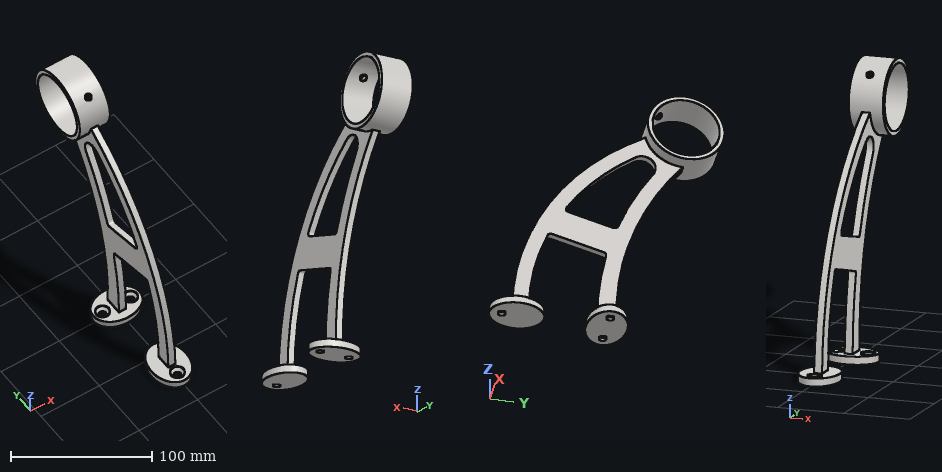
import cadquery as cq


total_height = 208.0

ring_diameter = 56.0
bore_diameter = 48.7
ring_width = 26.0
ring_radius = ring_diameter / 2
ring_height = total_height - ring_radius

foot_length = 40.0
foot_width = 30.0
foot_thickness = 6.0
rear_foot_y = -55.0
front_foot_y = -120.2
foot_hole_diameter = 5.5
countersink_diameter = 10.5
countersink_lip = 0.6
countersink_depth = 3.3
rear_hole_offset = 12.0
front_hole_offset = 10.8

web_thickness = 6.0
rear_leg_outer_centre = (177.6, 12.5)
rear_leg_outer_radius = 225.9
rear_leg_inner_centre = (186.5, 6.0)
rear_leg_inner_radius = 249.0
front_leg_centre = (74.9, 3.1)
front_leg_inner_radius = 187.0
front_leg_outer_radius = 199.0

crossbar_width = 24.3
crossbar_tilt = 14.6
crossbar_centre = (-70.7, 81.5)
window_top_fillet = 9.0
corner_fillet = 2.5

screw_diameter = 5.0
screw_length = 5.0
screw_tilt = 45.0
end_chamfer = 0.5
socket_sides = 6
socket_across_flats = 2.5
socket_depth = 2.5

opening_overrun = 20.8

block_size = 416.0


def disc(centre, radius, thickness):
    """Disc facing X, centred on X = 0, with its centre given as (Y, Z)."""
    return cq.Workplane("YZ").center(*centre).circle(radius).extrude(thickness / 2, both=True)


def half_space(bottom_z):
    """Large block that fills everything above the given height."""
    block = cq.Workplane("XY").box(block_size, block_size, block_size, centered=(True, True, False))
    return block.translate((0, 0, bottom_z))


def crossbar_block(offset, side):
    """Large block above (side = 1) or below (side = -1) a line parallel to the crossbar."""
    block = cq.Workplane("XY").box(block_size, block_size, block_size)
    block = block.translate((0, 0, offset + side * block_size / 2))
    block = block.rotate((0, 0, 0), (1, 0, 0), -crossbar_tilt)
    return block.translate((0, *crossbar_centre))


def leg_gap():
    """Region between the inner edges of the two legs."""
    front = disc(front_leg_centre, front_leg_inner_radius, web_thickness)
    return front.cut(disc(rear_leg_inner_centre, rear_leg_inner_radius, web_thickness))


def upper_window():
    window = leg_gap().intersect(crossbar_block(crossbar_width / 2, 1))
    window = window.edges("|X").edges(">Z").fillet(window_top_fillet)
    return window.edges("|X").edges("<Z or <Y").fillet(corner_fillet)


def lower_opening():
    opening = leg_gap().intersect(crossbar_block(-crossbar_width / 2, -1))
    opening = opening.intersect(half_space(-opening_overrun))
    return opening.edges("|X").fillet(corner_fillet)


def make_web():
    web = disc(front_leg_centre, front_leg_outer_radius, web_thickness)
    web = web.cut(disc(rear_leg_outer_centre, rear_leg_outer_radius, web_thickness))
    web = web.intersect(half_space(foot_thickness)).cut(half_space(ring_height))
    return web.cut(upper_window()).cut(lower_opening())


def foot_hole_cutter():
    """Through hole widening in a cone that ends in a short straight lip at the foot's top face."""
    hole_radius = foot_hole_diameter / 2
    countersink_radius = countersink_diameter / 2
    profile = cq.Workplane("XZ").polyline([
        (0, 0),
        (hole_radius, 0),
        (hole_radius, foot_thickness - countersink_depth),
        (countersink_radius, foot_thickness - countersink_lip),
        (countersink_radius, foot_thickness),
        (0, foot_thickness),
    ])
    return profile.close().revolve(360, (0, 0, 0), (0, 1, 0))


def make_foot(y, size_x, size_y, hole_points):
    """Oval plate with countersunk holes; hole points are relative to its centre."""
    foot = cq.Workplane("XY").ellipse(size_x / 2, size_y / 2).extrude(foot_thickness)
    for x, hole_y in hole_points:
        foot = foot.cut(foot_hole_cutter().translate((x, hole_y, 0)))
    return foot.translate((0, y, 0))


def place_on_ring(shape):
    """Move a shape built along Z at the origin to the ring axis, tilted to the screw direction."""
    return shape.rotate((0, 0, 0), (1, 0, 0), screw_tilt).translate((0, 0, ring_height))


def make_bracket():
    rear_holes = [(-rear_hole_offset, 0), (rear_hole_offset, 0)]
    front_holes = [(0, -front_hole_offset)]
    bracket = disc((0, ring_height), ring_radius, ring_width)
    bracket = bracket.union(make_web())
    bracket = bracket.cut(disc((0, ring_height), bore_diameter / 2, ring_width))
    bracket = bracket.union(make_foot(rear_foot_y, foot_length, foot_width, rear_holes))
    bracket = bracket.union(make_foot(front_foot_y, foot_width, foot_length, front_holes))
    screw_hole = cq.Workplane("XY").circle(screw_diameter / 2).extrude(ring_diameter)
    return bracket.cut(place_on_ring(screw_hole))


def make_grub_screw():
    """Socket set screw with chamfered ends, its head level with the ring's outside."""
    tip_radius = ring_radius - screw_length
    screw = cq.Workplane("XY").workplane(offset=tip_radius)
    screw = screw.circle(screw_diameter / 2).extrude(screw_length)
    screw = screw.faces("<Z or >Z").chamfer(end_chamfer)
    screw = screw.faces(">Z").workplane()
    screw = screw.polygon(socket_sides, socket_across_flats, circumscribed=True).cutBlind(-socket_depth)
    return place_on_ring(screw)


bracket = make_bracket()
grub_screw = make_grub_screw()

result = cq.Compound.makeCompound([bracket.solids().val(), grub_screw.solids().val()])